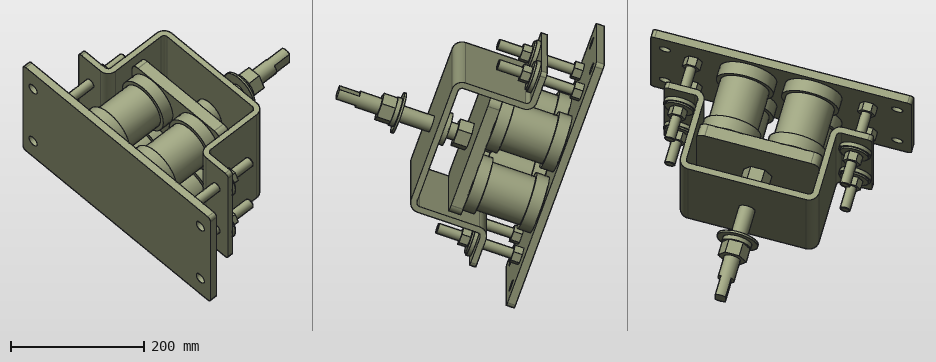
import cadquery as cq
import math

PLATE_WIDTH = 406.4
PLATE_HEIGHT = 203.2
PLATE_THICKNESS = 12.7
PLATE_HOLE_SPACING_X = 361.95
PLATE_HOLE_SPACING_Z = 127.0
PLATE_HOLE_DIAMETER = 17.5
CORNER_RADIUS = 6.35

CUSHION_SPACING = 101.6
CUSHION_FLANGE_DIAMETER = 88.9
CUSHION_BODY_DIAMETER = 76.2
CUSHION_FLANGE_THICKNESS = 19.85
CUSHION_LENGTH = 111.1
CUSHION_FLANGE_INSET = 0.8

PRESSURE_PLATE_SIZE = CUSHION_SPACING + CUSHION_FLANGE_DIAMETER
PRESSURE_PLATE_THICKNESS = 19.05
PRESSURE_PLATE_CORNER_RADIUS = 12.7

BRACKET_THICKNESS = 9.525
BRACKET_FOOT_Y = 76.2
BRACKET_TOP_Y = 203.2
BRACKET_OUTER_WIDTH = 215.9
BRACKET_FOOT_SPAN = 323.85
BEND_INNER_RADIUS = 6.35

STUD_SPACING_X = 273.05
STUD_SPACING_Z = CUSHION_SPACING
STUD_DIAMETER = 15.875
STUD_END_Y = 146.05
STUD_CHAMFER = 1.0
STUD_NUT_ACROSS_FLATS = 23.8125
STUD_NUT_HEIGHT = 13.89
STUD_WASHER_DIAMETER = 49.5
STUD_WASHER_THICKNESS = 6.35
STUD_LOCK_WASHER_DIAMETER = 44.45
STUD_LOCK_WASHER_THICKNESS = 2.8

ROD_DIAMETER = 25.4
ROD_START_Y = 105.0
ROD_END_Y = 352.425
ROD_FLAT_LENGTH = 31.75
ROD_ACROSS_FLATS = 15.875
ROD_NUT_ACROSS_FLATS = 38.1
ROD_NUT_HEIGHT = 21.8
COLLAR_DIAMETER = 50.8
COLLAR_THICKNESS = 15.875
WASHER_FACE_Y = 254.0
WASHER_DIAMETER = 63.5
WASHER_THICKNESS = 3.4
SPACER_DIAMETER = 45.0
SPACER_THICKNESS = 7.0


def plane_at(y):
    """XZ workplane at height y whose extrusions run toward +Y (local y axis is -Z)."""
    return cq.Workplane(cq.Plane(origin=(0, y, 0), xDir=(1, 0, 0), normal=(0, 1, 0)))


def disc(diameter, y_start, length):
    return plane_at(y_start).circle(diameter / 2).extrude(length)


def hex_nut(across_flats, y_start, height):
    """Hexagonal nut on the Y axis with two corners on the X axis."""
    across_corners = across_flats / math.cos(math.pi / 6)
    return plane_at(y_start).polygon(6, across_corners).extrude(height)


def square_pattern(body, spacing_x, spacing_z):
    """Four copies of a body, centred on the Y axis."""
    points = [(sx * spacing_x / 2, sz * spacing_z / 2) for sx in (-1, 1) for sz in (-1, 1)]
    copies = cq.Workplane()
    for x, z in points:
        copies = copies.add(body.translate((x, 0, z)))
    return copies.combine()


def make_mounting_plate():
    return (
        plane_at(0)
        .rect(PLATE_WIDTH, PLATE_HEIGHT)
        .extrude(PLATE_THICKNESS)
        .edges("|Y")
        .fillet(CORNER_RADIUS)
        .faces("<Y")
        .workplane(origin=(0, 0, 0))
        .rect(PLATE_HOLE_SPACING_X, PLATE_HOLE_SPACING_Z, forConstruction=True)
        .vertices()
        .hole(PLATE_HOLE_DIAMETER)
    )


def make_cushion():
    near_flange_y = PLATE_THICKNESS + CUSHION_FLANGE_INSET
    far_end_y = PLATE_THICKNESS + CUSHION_LENGTH
    far_flange_y = far_end_y - CUSHION_FLANGE_INSET - CUSHION_FLANGE_THICKNESS
    body = disc(CUSHION_BODY_DIAMETER, PLATE_THICKNESS, CUSHION_LENGTH)
    for y in (near_flange_y, far_flange_y):
        body = body.union(disc(CUSHION_FLANGE_DIAMETER, y, CUSHION_FLANGE_THICKNESS))
    return body


def make_pressure_plate(y_start):
    return (
        plane_at(y_start)
        .rect(PRESSURE_PLATE_SIZE, PRESSURE_PLATE_SIZE)
        .extrude(PRESSURE_PLATE_THICKNESS)
        .edges("|Y")
        .fillet(PRESSURE_PLATE_CORNER_RADIUS)
    )


def make_bracket():
    foot_top_y = BRACKET_FOOT_Y + BRACKET_THICKNESS
    half_outer = BRACKET_OUTER_WIDTH / 2
    half_inner = half_outer - BRACKET_THICKNESS
    half_span = BRACKET_FOOT_SPAN / 2
    bend_outer_radius = BEND_INNER_RADIUS + BRACKET_THICKNESS
    right_half = [
        (0, BRACKET_TOP_Y),
        (half_outer, BRACKET_TOP_Y),
        (half_outer, foot_top_y),
        (half_span, foot_top_y),
        (half_span, BRACKET_FOOT_Y),
        (half_inner, BRACKET_FOOT_Y),
        (half_inner, BRACKET_TOP_Y - BRACKET_THICKNESS),
        (0, BRACKET_TOP_Y - BRACKET_THICKNESS),
    ]
    half = (
        cq.Workplane("XY")
        .polyline(right_half)
        .close()
        .extrude(PLATE_HEIGHT / 2, both=True)
    )

    def bend_edge(x, y):
        return cq.selectors.NearestToPointSelector((x, y, 0))

    for x, y, radius in (
        (half_outer, BRACKET_TOP_Y, bend_outer_radius),
        (half_inner, BRACKET_TOP_Y - BRACKET_THICKNESS, BEND_INNER_RADIUS),
        (half_outer, foot_top_y, BEND_INNER_RADIUS),
        (half_inner, BRACKET_FOOT_Y, bend_outer_radius),
    ):
        half = half.edges(bend_edge(x, y)).fillet(radius)
    half = half.faces(">X").edges("|Y").fillet(CORNER_RADIUS)
    return half.union(half.mirror("YZ"))


def make_stud_assembly():
    washer_y = BRACKET_FOOT_Y + BRACKET_THICKNESS
    lock_washer_y = washer_y + STUD_WASHER_THICKNESS
    upper_nut_y = lock_washer_y + STUD_LOCK_WASHER_THICKNESS
    stud = disc(STUD_DIAMETER, PLATE_THICKNESS, STUD_END_Y - PLATE_THICKNESS)
    stud = stud.faces(">Y").chamfer(STUD_CHAMFER)
    return (
        stud.union(hex_nut(STUD_NUT_ACROSS_FLATS, PLATE_THICKNESS, STUD_NUT_HEIGHT))
        .union(disc(STUD_WASHER_DIAMETER, washer_y, STUD_WASHER_THICKNESS))
        .union(disc(STUD_LOCK_WASHER_DIAMETER, lock_washer_y, STUD_LOCK_WASHER_THICKNESS))
        .union(hex_nut(STUD_NUT_ACROSS_FLATS, upper_nut_y, STUD_NUT_HEIGHT))
    )


def make_rod():
    """Round rod with a pair of wrench flats, facing +X and -X, at its free end."""
    flat_start_y = ROD_END_Y - ROD_FLAT_LENGTH
    round_part = disc(ROD_DIAMETER, ROD_START_Y, flat_start_y - ROD_START_Y)
    flatted_end = disc(ROD_DIAMETER, flat_start_y, ROD_FLAT_LENGTH).intersect(
        plane_at(flat_start_y).rect(ROD_ACROSS_FLATS, ROD_DIAMETER).extrude(ROD_FLAT_LENGTH)
    )
    return round_part.union(flatted_end)


def make_rod_assembly(lower_nut_y):
    collar_y = BRACKET_TOP_Y - BRACKET_THICKNESS - COLLAR_THICKNESS
    spacer_y = WASHER_FACE_Y + WASHER_THICKNESS
    upper_nut_y = spacer_y + SPACER_THICKNESS
    return (
        make_rod()
        .union(hex_nut(ROD_NUT_ACROSS_FLATS, lower_nut_y, ROD_NUT_HEIGHT))
        .union(disc(COLLAR_DIAMETER, collar_y, COLLAR_THICKNESS))
        .union(disc(WASHER_DIAMETER, WASHER_FACE_Y, WASHER_THICKNESS))
        .union(disc(SPACER_DIAMETER, spacer_y, SPACER_THICKNESS))
        .union(hex_nut(ROD_NUT_ACROSS_FLATS, upper_nut_y, ROD_NUT_HEIGHT))
    )


pressure_plate_y = PLATE_THICKNESS + CUSHION_LENGTH
rod_lower_nut_y = pressure_plate_y + PRESSURE_PLATE_THICKNESS

result = (
    make_mounting_plate()
    .union(square_pattern(make_cushion().val(), CUSHION_SPACING, CUSHION_SPACING))
    .union(make_pressure_plate(pressure_plate_y))
    .union(make_bracket())
    .union(square_pattern(make_stud_assembly().val(), STUD_SPACING_X, STUD_SPACING_Z))
    .union(make_rod_assembly(rod_lower_nut_y))
)